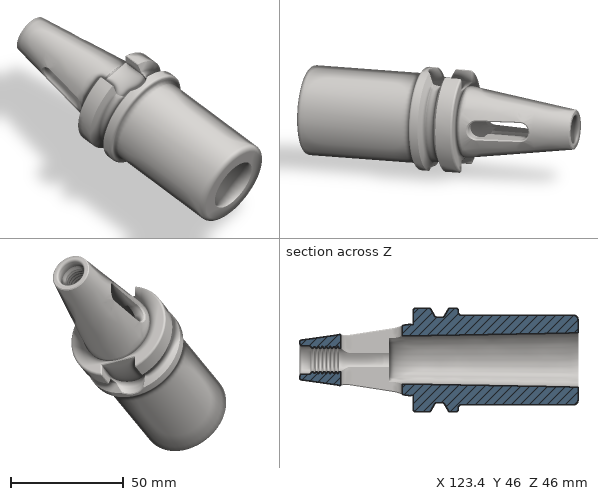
import cadquery as cq
import math

LENGTH = 123.4

TAPER_LENGTH = 48.6
TAPER_LARGE_RADIUS = 15.9
TAPER_SLOPE = 7 / 24 / 2
TAPER_SMALL_RADIUS = TAPER_LARGE_RADIUS - TAPER_LENGTH * TAPER_SLOPE
TAPER_END_CHAMFER = 0.4
NECK_RELIEF_START = 49.4
NECK_RELIEF_DEPTH = 0.1

FLANGE_RADIUS = 23.01
FLANGE_START = 50.2
FLANGE_END = 70.3
FLANGE_FILLET = 1.0
GROOVE_RADIUS = 19.1
GROOVE_FLOOR_START = 60.1
GROOVE_FLOOR_END = 63.8
GROOVE_FILLET = 0.6
GROOVE_HALF_ANGLE = math.radians(30)
GROOVE_FLANK_RUN = (FLANGE_RADIUS - GROOVE_RADIUS) * math.tan(GROOVE_HALF_ANGLE)
GROOVE_START = GROOVE_FLOOR_START - GROOVE_FLANK_RUN
GROOVE_END = GROOVE_FLOOR_END + GROOVE_FLANK_RUN

BODY_RADIUS = 20.0
BODY_ROOT_FILLET = 1.1
BODY_END_FILLET = 2.2

DRIVE_SLOT_WIDTH = 16.0
DRIVE_SLOT_FLOOR = 16.3
DRIVE_SLOT_END = 67.7
DRIVE_SLOT_CHAMFER = 0.4

EJECTOR_START = 18.4
EJECTOR_END = 45.3
EJECTOR_HEIGHT = 8.0
EJECTOR_CHAMFER = 0.6

STUD_BORE_RADIUS = 6.2
STUD_BORE_DEPTH = 4.6
STUD_MOUTH_FILLET = 1.0
THREAD_MINOR_RADIUS = 5.0
THREAD_MAJOR_RADIUS = 6.0
THREAD_PITCH = 1.7
THREAD_HALF_ANGLE = math.radians(30)

SOCKET_MOUTH_RADIUS = 12.0
SOCKET_DEPTH = 83.9
SOCKET_BOTTOM_RADIUS = 10.5


def arc_inset(radius):
    """Distance along X, and along the radius, from a square corner to the middle of its fillet arc."""
    return radius * (1 - math.sqrt(0.5))


def holder_blank():
    """Turned outer shape, revolved about the X axis."""
    body_end_arc = arc_inset(BODY_END_FILLET)
    root_arc = arc_inset(BODY_ROOT_FILLET)
    neck_radius = TAPER_LARGE_RADIUS - NECK_RELIEF_DEPTH
    flange_arc = arc_inset(FLANGE_FILLET)
    profile = (
        cq.Workplane("XZ")
        .moveTo(0, 0)
        .lineTo(0, TAPER_SMALL_RADIUS - TAPER_END_CHAMFER)
        .lineTo(TAPER_END_CHAMFER, TAPER_SMALL_RADIUS + TAPER_END_CHAMFER * TAPER_SLOPE)
        .lineTo(TAPER_LENGTH, TAPER_LARGE_RADIUS)
        .lineTo(NECK_RELIEF_START, TAPER_LARGE_RADIUS)
        .lineTo(NECK_RELIEF_START, neck_radius)
        .lineTo(FLANGE_START, neck_radius)
        .lineTo(FLANGE_START, FLANGE_RADIUS - FLANGE_FILLET)
        .threePointArc(
            (FLANGE_START + flange_arc, FLANGE_RADIUS - flange_arc),
            (FLANGE_START + FLANGE_FILLET, FLANGE_RADIUS),
        )
        .lineTo(GROOVE_START, FLANGE_RADIUS)
        .lineTo(GROOVE_FLOOR_START, GROOVE_RADIUS)
        .lineTo(GROOVE_FLOOR_END, GROOVE_RADIUS)
        .lineTo(GROOVE_END, FLANGE_RADIUS)
        .lineTo(FLANGE_END - FLANGE_FILLET, FLANGE_RADIUS)
        .threePointArc(
            (FLANGE_END - flange_arc, FLANGE_RADIUS - flange_arc),
            (FLANGE_END, FLANGE_RADIUS - FLANGE_FILLET),
        )
        .lineTo(FLANGE_END, BODY_RADIUS + BODY_ROOT_FILLET)
        .threePointArc(
            (FLANGE_END + root_arc, BODY_RADIUS + root_arc),
            (FLANGE_END + BODY_ROOT_FILLET, BODY_RADIUS),
        )
        .lineTo(LENGTH - BODY_END_FILLET, BODY_RADIUS)
        .threePointArc(
            (LENGTH - body_end_arc, BODY_RADIUS - body_end_arc),
            (LENGTH, BODY_RADIUS - BODY_END_FILLET),
        )
        .lineTo(LENGTH, 0)
        .close()
    )
    groove_corners = cq.selectors.BoxSelector(
        (GROOVE_FLOOR_START - GROOVE_FILLET, -BODY_RADIUS / 2, -BODY_RADIUS / 2),
        (GROOVE_FLOOR_END + GROOVE_FILLET, BODY_RADIUS / 2, BODY_RADIUS / 2),
    )
    blank = profile.revolve(360, (0, 0, 0), (1, 0, 0))
    return blank.edges(groove_corners).fillet(GROOVE_FILLET)


def ejector_slot():
    """Round-ended slot through the taper along Y."""
    return (
        cq.Workplane("XZ")
        .center((EJECTOR_START + EJECTOR_END) / 2, 0)
        .slot2D(EJECTOR_END - EJECTOR_START, EJECTOR_HEIGHT)
        .extrude(FLANGE_RADIUS, both=True)
    )


def drive_slot(side):
    """Round-ended slot in the flange, above (side = 1) or below (side = -1) the axis."""
    slot_radius = DRIVE_SLOT_WIDTH / 2
    straight_end = DRIVE_SLOT_END - slot_radius
    return (
        cq.Workplane("XY")
        .workplane(offset=side * DRIVE_SLOT_FLOOR)
        .moveTo(FLANGE_START, -slot_radius)
        .lineTo(straight_end, -slot_radius)
        .threePointArc((DRIVE_SLOT_END, 0), (straight_end, slot_radius))
        .lineTo(FLANGE_START, slot_radius)
        .close()
        .extrude(side * FLANGE_RADIUS)
    )


def stud_bore():
    """Pull-stud bore from the small end to the tool socket.

    It has a rounded mouth, a 45-degree shoulder and ring grooves for the thread.
    """
    thread_start = STUD_BORE_DEPTH + STUD_BORE_RADIUS - THREAD_MINOR_RADIUS
    mouth_arc = arc_inset(STUD_MOUTH_FILLET)
    profile = (
        cq.Workplane("XZ")
        .moveTo(0, 0)
        .lineTo(0, STUD_BORE_RADIUS + STUD_MOUTH_FILLET)
        .threePointArc(
            (mouth_arc, STUD_BORE_RADIUS + mouth_arc),
            (STUD_MOUTH_FILLET, STUD_BORE_RADIUS),
        )
        .lineTo(STUD_BORE_DEPTH, STUD_BORE_RADIUS)
        .lineTo(thread_start, THREAD_MINOR_RADIUS)
    )
    groove_half_width = (THREAD_MAJOR_RADIUS - THREAD_MINOR_RADIUS) * math.tan(THREAD_HALF_ANGLE)
    groove_count = int((EJECTOR_START - thread_start) / THREAD_PITCH)
    for index in range(groove_count):
        groove_x = thread_start + (index + 0.5) * THREAD_PITCH
        profile = (
            profile
            .lineTo(groove_x - groove_half_width, THREAD_MINOR_RADIUS)
            .lineTo(groove_x, THREAD_MAJOR_RADIUS)
            .lineTo(groove_x + groove_half_width, THREAD_MINOR_RADIUS)
        )
    profile = (
        profile
        .lineTo(LENGTH - SOCKET_DEPTH, THREAD_MINOR_RADIUS)
        .lineTo(LENGTH - SOCKET_DEPTH, 0)
        .close()
    )
    return profile.revolve(360, (0, 0, 0), (1, 0, 0))


def tool_socket():
    """Conical socket, narrowing from the body end into the ejector slot."""
    profile = (
        cq.Workplane("XZ")
        .moveTo(LENGTH, 0)
        .lineTo(LENGTH, SOCKET_MOUTH_RADIUS)
        .lineTo(LENGTH - SOCKET_DEPTH, SOCKET_BOTTOM_RADIUS)
        .lineTo(LENGTH - SOCKET_DEPTH, 0)
        .close()
    )
    return profile.revolve(360, (0, 0, 0), (1, 0, 0))


def ejector_rim(side):
    """Selector for the slot edges on the taper surface, at +Y (side = 1) or -Y (side = -1)."""
    return cq.selectors.BoxSelector(
        (EJECTOR_START, side * TAPER_SMALL_RADIUS, -EJECTOR_HEIGHT),
        (EJECTOR_END, side * TAPER_LARGE_RADIUS, EJECTOR_HEIGHT),
    )


def drive_slot_front(side):
    """Selector for the edges of a drive slot on the flange front face."""
    return cq.selectors.BoxSelector(
        (FLANGE_START - DRIVE_SLOT_CHAMFER, -DRIVE_SLOT_WIDTH, side * TAPER_LARGE_RADIUS),
        (FLANGE_START + DRIVE_SLOT_CHAMFER / 2, DRIVE_SLOT_WIDTH, side * FLANGE_RADIUS),
    )


def drive_slot_back(side):
    """Selector for the edges where the round end of a drive slot meets the flange rim."""
    return cq.selectors.BoxSelector(
        (GROOVE_END, -DRIVE_SLOT_WIDTH, side * BODY_RADIUS),
        (DRIVE_SLOT_END, DRIVE_SLOT_WIDTH, side * FLANGE_RADIUS),
    )


holder = holder_blank().cut(ejector_slot())
for side in (1, -1):
    holder = holder.edges(ejector_rim(side)).chamfer(EJECTOR_CHAMFER)
    holder = holder.cut(drive_slot(side))
    holder = holder.edges(drive_slot_front(side)).chamfer(DRIVE_SLOT_CHAMFER)
    holder = holder.edges(drive_slot_back(side)).chamfer(DRIVE_SLOT_CHAMFER)

result = holder.cut(stud_bore()).cut(tool_socket())